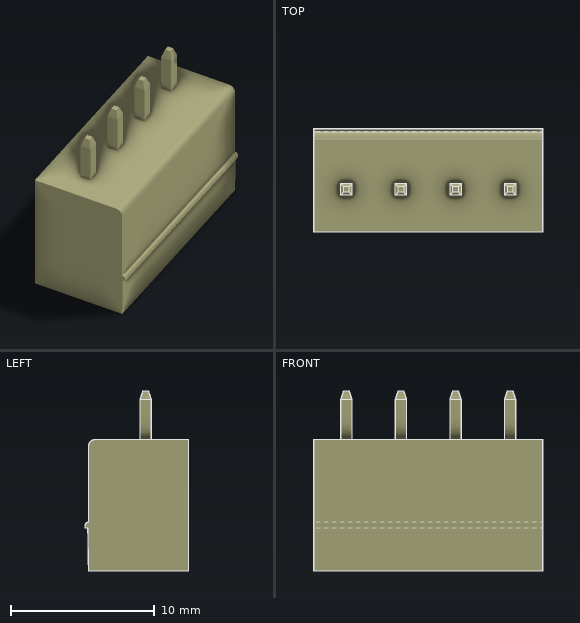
import cadquery as cq

length = 16.03
housing_depth = 7.0
housing_height = 9.2
rear_edge_radius = 0.5

overall_depth = 7.25
rib_top = 3.41
rib_bottom = 3.0
rib_edge_radius = 0.22
rear_flare = 0.05

pin_count = 4
pin_pitch = 3.82
pin_width = 0.8
pin_tip_width = 0.4
pin_y = 3.0
tip_length = 0.61
overall_height = 12.6
shank_top = overall_height - tip_length


def make_housing():
    """Extrude the side profile, with its flared lower rear face and latch rib."""
    profile = (
        cq.Workplane("YZ", origin=(-length / 2, 0, 0))
        .lineTo(housing_depth, 0)
        .lineTo(housing_depth + rear_flare, rib_bottom)
        .lineTo(overall_depth, rib_bottom)
        .lineTo(overall_depth, rib_top - rib_edge_radius)
        .radiusArc((overall_depth - rib_edge_radius, rib_top), -rib_edge_radius)
        .lineTo(housing_depth, rib_top)
        .lineTo(housing_depth, housing_height - rear_edge_radius)
        .radiusArc((housing_depth - rear_edge_radius, housing_height), -rear_edge_radius)
        .lineTo(0, housing_height)
        .close()
    )
    return profile.extrude(length)


def make_pin(x):
    """Square pin standing on the housing, with a tapered tip."""
    shank = (
        cq.Workplane("XY", origin=(x, pin_y, housing_height))
        .rect(pin_width, pin_width)
        .extrude(shank_top - housing_height)
    )
    tip = (
        cq.Workplane("XY", origin=(x, pin_y, shank_top))
        .rect(pin_width, pin_width)
        .workplane(offset=tip_length)
        .rect(pin_tip_width, pin_tip_width)
        .loft(ruled=True)
    )
    return shank.union(tip)


result = make_housing()
first_pin_x = -pin_pitch * (pin_count - 1) / 2
for index in range(pin_count):
    result = result.union(make_pin(first_pin_x + index * pin_pitch))